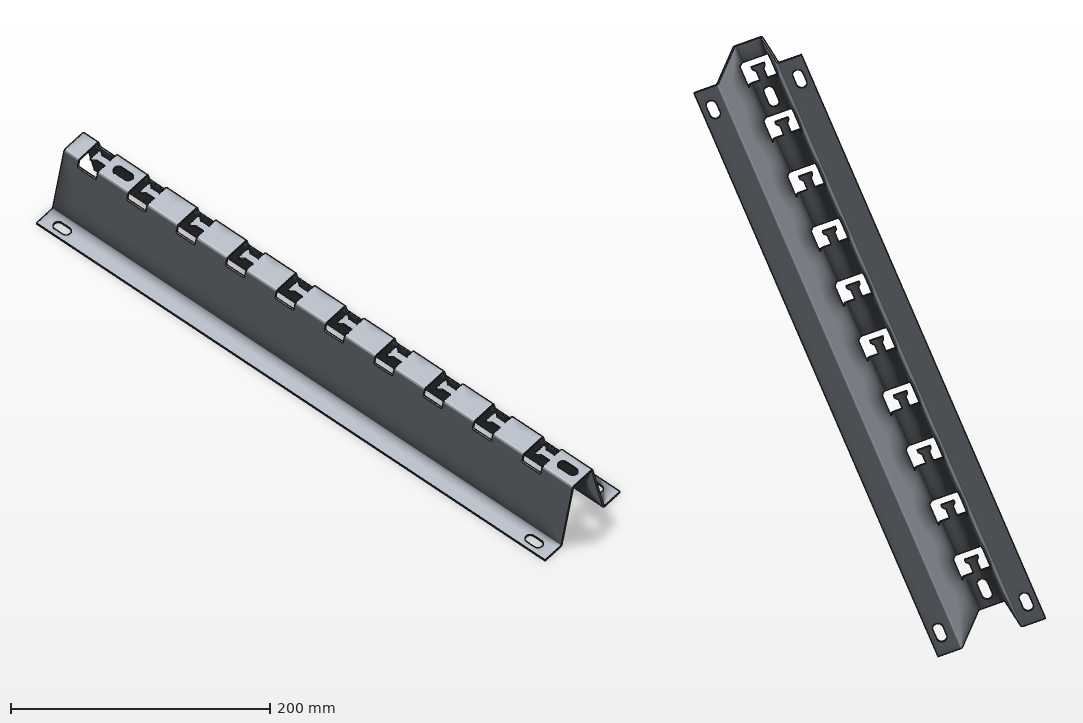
import cadquery as cq
import math

length = 515.0
width = 89.0
height = 60.0
thickness = 1.5

crown_half_width = 12.0
foot_half_width = 26.0
inner_bend_radius = 1.0
outer_bend_radius = inner_bend_radius + thickness

notch_count = 10
row_span = 450.0
notch_pitch = row_span / (notch_count - 1)
first_notch_x = 15.0
notch_length = 19.0
notch_depth = 7.5
notch_corner_radius = 1.0

tab_gap = 6.0
tab_neck_width = 6.0
tab_head_width = 11.0
tab_head_length = 2.0
tab_shoulder_length = 2.5

slot_width = 8.0
crown_slot_length = 18.0
crown_slot_x = 50.0
flange_slot_length = 16.0
flange_slot_end_inset = 18.5
flange_slot_side_inset = 9.0


def hat_section():
    """Solid rail with rounded bends, before any cut-outs."""
    skin_rise = height - thickness
    lean = math.atan2(foot_half_width - crown_half_width, skin_rise)
    corner_shift = thickness * math.tan((math.pi / 2 - lean) / 2)
    half_width = width / 2
    upper_foot = (foot_half_width, thickness)
    upper_crown = (crown_half_width, height)
    lower_crown = (crown_half_width - corner_shift, skin_rise)
    lower_foot = (foot_half_width - corner_shift, 0)

    right_half = [lower_crown, lower_foot, (half_width, 0), (half_width, thickness), upper_foot, upper_crown]
    left_half = [(-y, z) for y, z in reversed(right_half)]
    rail = cq.Workplane("YZ").polyline(right_half + left_half).close().extrude(length)

    def bend_edges(corners):
        selector = None
        for y, z in corners:
            for side in (-1, 1):
                nearest = cq.selectors.NearestToPointSelector((length / 2, side * y, z))
                selector = nearest if selector is None else selector + nearest
        return selector

    rail = rail.edges(bend_edges([upper_crown, lower_foot])).fillet(outer_bend_radius)
    return rail.edges(bend_edges([lower_crown, upper_foot])).fillet(inner_bend_radius)


def notch(start_x):
    """Cutter through the crown and the top of both walls, rounded at its lower corners."""
    return (
        cq.Workplane("XY")
        .box(notch_length, 2 * foot_half_width, notch_depth, centered=(False, True, False))
        .faces("<Z")
        .edges("|Y")
        .fillet(notch_corner_radius)
        .translate((start_x, 0, height - notch_depth))
    )


def tab(start_x):
    """T-shaped tab in the crown sheet, rooted at the +X end of its notch."""
    tip = start_x + tab_gap
    shoulder = tip + tab_head_length
    neck = shoulder + tab_shoulder_length
    root = start_x + notch_length
    half_head = tab_head_width / 2
    half_neck = tab_neck_width / 2
    upper = [(tip, half_head), (shoulder, half_head), (neck, half_neck), (root, half_neck)]
    lower = [(x, -y) for x, y in reversed(upper)]
    return (
        cq.Workplane("XY", origin=(0, 0, height - thickness))
        .polyline(upper + lower)
        .close()
        .extrude(thickness)
    )


def slots(centers, slot_length, base_z):
    """Cutters for round-ended slots through one sheet thickness."""
    return (
        cq.Workplane("XY", origin=(0, 0, base_z))
        .pushPoints(centers)
        .slot2D(slot_length, slot_width)
        .extrude(thickness)
    )


result = hat_section()

for index in range(notch_count):
    notch_x = first_notch_x + index * notch_pitch
    result = result.cut(notch(notch_x).cut(tab(notch_x)))

crown_slot_centers = [(crown_slot_x, 0), (crown_slot_x + row_span, 0)]
result = result.cut(slots(crown_slot_centers, crown_slot_length, height - thickness))

flange_slot_y = width / 2 - flange_slot_side_inset
flange_slot_centers = [
    (x, side * flange_slot_y)
    for x in (flange_slot_end_inset, length - flange_slot_end_inset)
    for side in (-1, 1)
]
result = result.cut(slots(flange_slot_centers, flange_slot_length, 0))